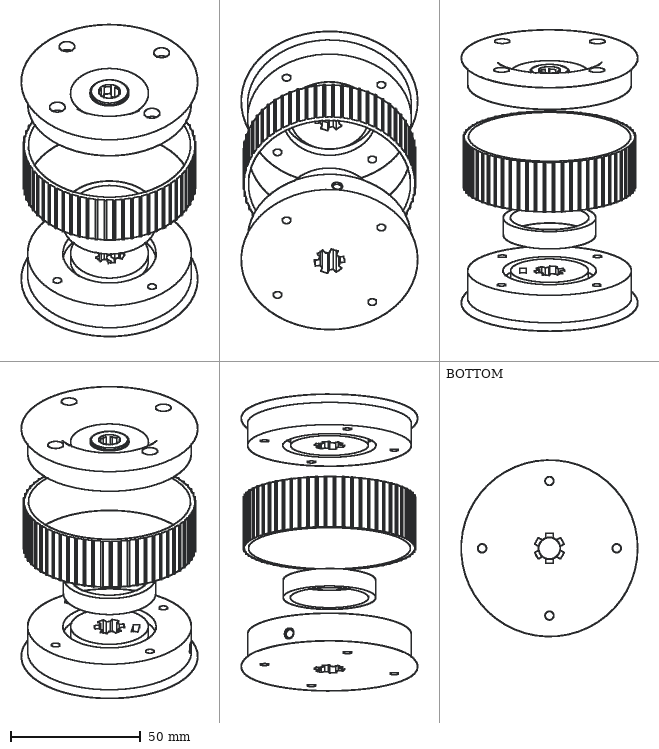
import cadquery as cq
import math

total_height = 101.0

rim_radius = 34.09
rim_height = 2.9
bead_radius = 1.0
bead_height = 1.6
shoulder_radius = 33.4
shoulder_height = 2.2

hub_radius = 63.2 / 2
bore_diameter = 8.3
spline_radius = 5.8
spline_width = 2.8
spline_count = 6
spline_start_angle = 30.0

base_height = 14.0

screw_circle_radius = 26.0
screw_count = 4
screw_hole_diameter = 3.2
screw_head_diameter = 6.0
screw_head_depth = 4.0

set_screw_angle = 135.0
set_screw_diameter = 3.2
set_screw_mouth_diameter = 4.2
set_screw_height = base_height / 2
nut_width = 5.7
nut_thickness = 2.5
nut_distance = 10.2

bearing_height = 7.0
bearing_outer_diameter = 35.8
bearing_inner_diameter = 30.2
bearing_bottom = 28.5
groove_outer_diameter = 36.0
groove_inner_diameter = 30.0
groove_depth = 3.9

ring_bottom = 48.2
ring_height = 20.0
ring_tip_radius = 33.3
ring_core_radius = 32.9
ring_inner_radius = 62.5 / 2
rib_count = 60
rib_base_width = 1.0
rib_tip_width = 0.6

cap_height = 11.8
dish_depth = 6.8
dish_floor_radius = 15.0
dish_edge_radius = 21.8
dish_edge_fillet = 2.7
boss_diameter = 15.0
boss_height = 1.0
boss_chamfer = 0.5
boss_bore_depth = 1.0


def flanged_disc(height):
    """Disc standing on z = 0, with a beaded rim at the bottom and a plain hub above it."""
    bead_top_radius = rim_radius - bead_radius + math.sqrt(
        bead_radius**2 - (bead_height - bead_radius) ** 2
    )
    shoulder_run = shoulder_radius - hub_radius
    shoulder_drop = rim_height - shoulder_height
    crown_radius = (shoulder_run**2 + shoulder_drop**2) / (2 * shoulder_drop)
    profile = (
        cq.Workplane("XZ")
        .lineTo(rim_radius - bead_radius, 0)
        .threePointArc((rim_radius, bead_radius), (bead_top_radius, bead_height))
        .lineTo(shoulder_radius, shoulder_height)
        .radiusArc((hub_radius, rim_height), -crown_radius)
        .lineTo(hub_radius, height)
        .lineTo(0, height)
        .close()
    )
    return profile.revolve(360, (0, 0, 0), (0, 1, 0))


def splined_bore(bottom, top):
    """Cutter for a round bore with equally spaced rectangular spline slots."""
    length = top - bottom
    cutter = cq.Workplane("XY").workplane(offset=bottom).circle(bore_diameter / 2).extrude(length)
    for index in range(spline_count):
        slot = (
            cq.Workplane("XY")
            .workplane(offset=bottom)
            .center(spline_radius / 2, 0)
            .rect(spline_radius, spline_width)
            .extrude(length)
            .rotate((0, 0, 0), (0, 0, 1), spline_start_angle + index * 360 / spline_count)
        )
        cutter = cutter.union(slot)
    return cutter


def screw_pattern(diameter, bottom, top):
    """Cutter for one cylinder at each of the screw positions."""
    return (
        cq.Workplane("XY")
        .workplane(offset=bottom)
        .polarArray(screw_circle_radius, 0, 360, screw_count)
        .circle(diameter / 2)
        .extrude(top - bottom)
    )


def bearing_groove(bottom, top):
    """Cutter for an annular groove that takes one end of the bearing ring."""
    return (
        cq.Workplane("XY")
        .workplane(offset=bottom)
        .circle(groove_outer_diameter / 2)
        .circle(groove_inner_diameter / 2)
        .extrude(top - bottom)
    )


def set_screw_cutter():
    """Radial set screw hole with a flared mouth, and the nut slot open at the top of the base."""
    flare_depth = (set_screw_mouth_diameter - set_screw_diameter) / 2
    flare_bottom = hub_radius - flare_depth
    hole = cq.Workplane("YZ").circle(set_screw_diameter / 2).extrude(hub_radius)
    flare = cq.Workplane(
        cq.Solid.makeCone(
            set_screw_diameter / 2,
            set_screw_mouth_diameter / 2,
            flare_depth,
            pnt=cq.Vector(flare_bottom, 0, 0),
            dir=cq.Vector(1, 0, 0),
        )
    )
    slot_height = base_height - set_screw_height + nut_width / 2
    nut_slot = (
        cq.Workplane("XY")
        .workplane(offset=-nut_width / 2)
        .center(nut_distance, 0)
        .rect(nut_thickness, nut_width)
        .extrude(slot_height)
    )
    cutter = hole.union(flare).union(nut_slot)
    return cutter.translate((0, 0, set_screw_height)).rotate((0, 0, 0), (0, 0, 1), set_screw_angle)


def make_base():
    """Lower disc with the splined bore, bearing groove, screw holes and set screw."""
    return (
        flanged_disc(base_height)
        .cut(splined_bore(0, base_height))
        .cut(bearing_groove(base_height - groove_depth, base_height))
        .cut(screw_pattern(screw_hole_diameter, 0, base_height))
        .cut(set_screw_cutter())
    )


def make_bearing():
    """Plain bearing ring."""
    return (
        cq.Workplane("XY")
        .workplane(offset=bearing_bottom)
        .circle(bearing_outer_diameter / 2)
        .circle(bearing_inner_diameter / 2)
        .extrude(bearing_height)
    )


def make_toothed_ring():
    """Ring with straight tapered ribs standing out along its full height."""
    core = cq.Workplane("XY").circle(ring_core_radius).extrude(ring_height)
    half_tip = rib_tip_width / 2
    half_base = rib_base_width / 2
    rib = (
        cq.Workplane("XY")
        .moveTo(ring_inner_radius, -half_base)
        .lineTo(ring_core_radius, -half_base)
        .lineTo(ring_tip_radius, -half_tip)
        .lineTo(ring_tip_radius, half_tip)
        .lineTo(ring_core_radius, half_base)
        .lineTo(ring_inner_radius, half_base)
        .close()
        .extrude(ring_height)
    )
    ribs = [
        rib.rotate((0, 0, 0), (0, 0, 1), index * 360 / rib_count).val() for index in range(rib_count)
    ]
    bore = cq.Workplane("XY").circle(ring_inner_radius).extrude(ring_height)
    ribbed = cq.Workplane(core.val().fuse(*ribs))
    return ribbed.cut(bore).translate((0, 0, ring_bottom))


def dish_cutter():
    """Conical dish with a rounded upper edge, going down from the cap's outer face."""
    slope_run = dish_edge_radius - dish_floor_radius
    slope_angle = math.atan2(dish_depth, slope_run)
    tangent = dish_edge_fillet * math.tan(slope_angle / 2)
    outer_radius = dish_edge_radius + tangent
    slope_start = (
        dish_edge_radius - tangent * math.cos(slope_angle),
        -tangent * math.sin(slope_angle),
    )
    profile = (
        cq.Workplane("XZ")
        .lineTo(outer_radius, 0)
        .radiusArc(slope_start, -dish_edge_fillet)
        .lineTo(dish_floor_radius, -dish_depth)
        .lineTo(0, -dish_depth)
        .close()
    )
    return profile.revolve(360, (0, 0, 0), (0, 1, 0)).translate((0, 0, total_height))


def make_cap():
    """Upper disc, rim up, with the dish, its bored boss and the counterbored screw holes."""
    cap_bottom = total_height - cap_height
    dish_floor = total_height - dish_depth
    boss_top = dish_floor + boss_height
    disc = flanged_disc(cap_height).rotate((0, 0, 0), (1, 0, 0), 180).translate((0, 0, total_height))
    boss = (
        cq.Workplane("XY")
        .workplane(offset=dish_floor)
        .circle(boss_diameter / 2)
        .extrude(boss_height)
        .faces(">Z")
        .chamfer(boss_chamfer)
    )
    bore = cq.Workplane("XY").workplane(offset=cap_bottom).circle(bore_diameter / 2).extrude(cap_height)
    return (
        disc.cut(dish_cutter())
        .union(boss)
        .cut(bore)
        .cut(splined_bore(cap_bottom, boss_top - boss_bore_depth))
        .cut(bearing_groove(cap_bottom, cap_bottom + groove_depth))
        .cut(screw_pattern(screw_hole_diameter, cap_bottom, total_height))
        .cut(screw_pattern(screw_head_diameter, total_height - screw_head_depth, total_height))
    )


base = make_base()
bearing = make_bearing()
toothed_ring = make_toothed_ring()
cap = make_cap()

result = cq.Compound.makeCompound(
    [base.val(), bearing.val(), toothed_ring.val(), cap.val()]
)